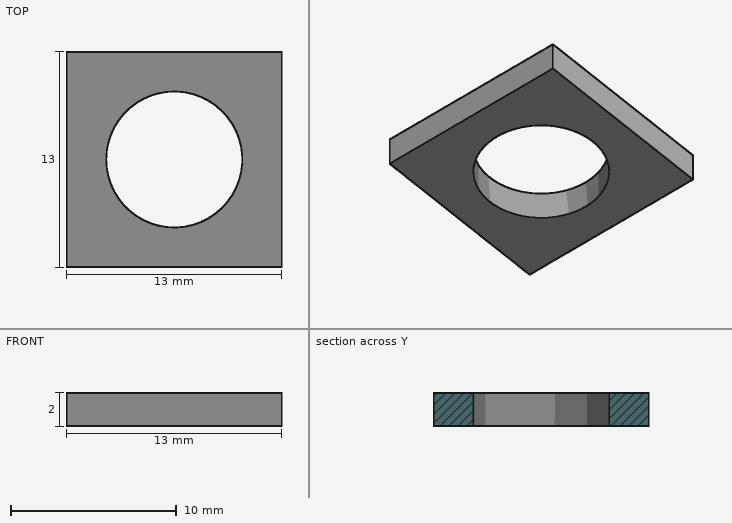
import cadquery as cq

side = 13.0
thickness = 2.0
hole_diameter = 8.2

result = (
    cq.Workplane("XY")
    .box(side, side, thickness)
    .faces(">Z")
    .workplane()
    .hole(hole_diameter)
)